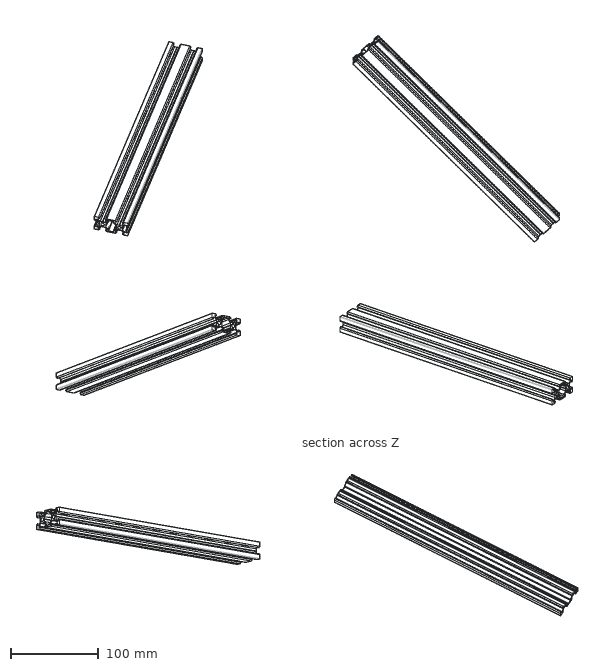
import cadquery as cq
import math

module = 20.0
width = 2 * module
length = 300.0
corner_radius = 0.5

mouth_width = 9.8
throat_width = 6.9
lip_depth = 1.8
undercut_width = 11.0

core_width = 7.8
bore_diameter = 4.2
web_thickness = 1.5

groove_width = 0.6
groove_depth = 0.2

cavity_width = 5.8

half_module = module / 2
half_core = core_width / 2
half_undercut = undercut_width / 2
half_cavity = cavity_width / 2
half_groove = groove_width / 2
lip_inner = half_module - lip_depth
groove_bottom = half_core - groove_depth
web_offset = web_thickness / math.sqrt(2)


def mirrored(points):
    """The same points reflected in X = 0, in reverse order."""
    return [(-x, z) for x, z in reversed(points)]


def extrude_along_y(sketch):
    """Extrude an XZ outline over the full length, centred on Y = 0."""
    return sketch.extrude(length / 2, both=True)


def make_blank():
    blank = extrude_along_y(cq.Workplane("XZ").rect(width, module))
    return blank.edges("|Y").fillet(corner_radius)


def make_slot():
    """V-slot opening towards +Z, for a core centred on the origin."""
    half_mouth = mouth_width / 2
    half_throat = throat_width / 2
    bevel_depth = half_mouth - half_throat
    right_side = [
        (half_mouth, half_module),
        (half_throat, half_module - bevel_depth),
        (half_throat, lip_inner),
        (half_undercut, lip_inner),
        (half_undercut, half_undercut + web_offset),
        (half_core - web_offset, half_core),
        (half_groove, half_core),
    ]
    outline = right_side + [(0, groove_bottom)] + mirrored(right_side)
    return extrude_along_y(cq.Workplane("XZ").polyline(outline).close())


def make_cavity():
    """Hollow in the middle of the bar, bounded by webs, skins and grooved core faces."""
    core_face = half_module - half_core
    upper_right = [
        (core_face, half_groove),
        (core_face, half_core - web_offset),
        (half_cavity, half_module - half_cavity - web_offset),
        (half_cavity, lip_inner),
    ]
    groove_tip = (half_module - groove_bottom, 0)
    upper_half = [groove_tip] + upper_right + mirrored(upper_right)
    lower_half = [(-x, -z) for x, z in upper_half]
    return extrude_along_y(cq.Workplane("XZ").polyline(upper_half + lower_half).close())


def make_bores():
    centres = [(-half_module, 0), (half_module, 0)]
    return extrude_along_y(cq.Workplane("XZ").pushPoints(centres).circle(bore_diameter / 2))


def cut_slots(bar):
    """Cut a slot in the top, bottom and outer side of each module."""
    slot = make_slot()
    for side in (-1, 1):
        for turn in (0, side * 90, 180):
            turned = slot.rotate((0, 0, 0), (0, 1, 0), turn)
            bar = bar.cut(turned.translate((side * half_module, 0, 0)))
    return bar


result = cut_slots(make_blank().cut(make_cavity()).cut(make_bores()))